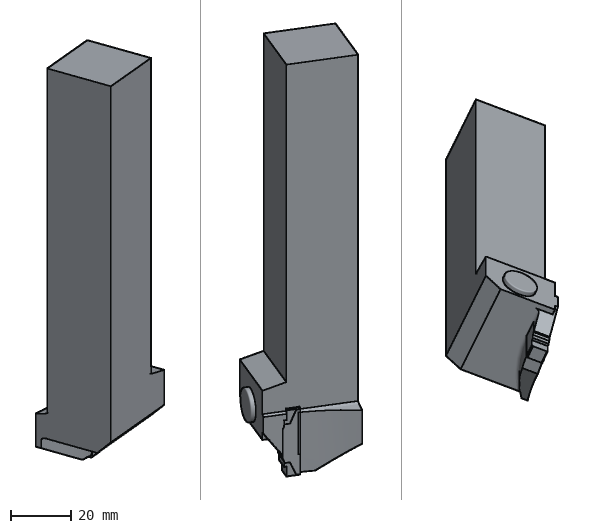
import cadquery as cq

TOTAL_HEIGHT = 151.4
SHANK_SIZE = 25.0
HEAD_DEPTH = 33.3
HEAD_BOTTOM = 14.4
HEAD_TOP_BACK = 32.5
HEAD_TOP_SHANK = 34.5
CORNER_CHAMFER = 5.3

BLADE_FRONT_OUTER = -4.5
BLADE_FRONT_INNER = -2.3
BLADE_OUTER = -1.0
BLADE_INNER = 4.7
BLADE_STRAIGHT_Y = 21.2
OUTER_ARC_MID = (-2.3, 10.1)
INNER_ARC_MID = (2.4, 9.1)
BLADE_FRONT_BOTTOM = 10.3
BLADE_BOTTOM = 1.2
BLADE_BOTTOM_Y = 15.5
BLADE_ROOT_FILLET = 1.2
SELECT_MARGIN = 0.2
CLAMP_BACK_Z = 17.1
CLAMP_NOSE_Y = 26.5
CLAMP_NOSE_Z = 7.9

LEDGE_OUTER_Z = 22.5
LEDGE_STEP_Z = 23.3
LEDGE_TOP = 23.9

SCREW_DIAMETER = 11.8
SCREW_X = 13.0
SCREW_Z = 21.5
SCREW_HEIGHT = 1.8
SCREW_FILLET = 0.5

INSERT_HEIGHT = 24.8
INSERT_INNER = 4.8
INSERT_FRONT_Y = 20.5
RAKE_Y = 25.1
RAKE_STEP_Y = 26.0
INSERT_BACK_Y = CLAMP_NOSE_Y
RAKE_LENGTH = 3.8
STEP_END = 5.9
BACK_START = 7.0
FLANK_LENGTH = 5.3
FLANK_FRONT_Y = 21.6
FLANK_REAR_Y = 24.0
FLANK_RELIEF = 0.2
TIP_CHAMFER = 0.5


def prism_along_x(points, x_start, x_end):
    """Extrude an outline of (y, z) points from x_start to x_end."""
    return cq.Workplane("YZ", origin=(x_start, 0, 0)).polyline(points).close().extrude(x_end - x_start)


def make_shank_and_head():
    profile = [
        (0, HEAD_BOTTOM),
        (HEAD_DEPTH, HEAD_BOTTOM),
        (HEAD_DEPTH, HEAD_TOP_BACK),
        (SHANK_SIZE, HEAD_TOP_SHANK),
        (SHANK_SIZE, TOTAL_HEIGHT),
        (0, TOTAL_HEIGHT),
    ]
    body = prism_along_x(profile, 0, SHANK_SIZE)
    return body.faces("<Z").edges(">X").chamfer(CORNER_CHAMFER)


def outer_blade_outline():
    """Start a plan outline along the curved outer side, from the front to the back face."""
    return (
        cq.Workplane("XY")
        .moveTo(BLADE_FRONT_OUTER, 0)
        .threePointArc(OUTER_ARC_MID, (BLADE_OUTER, BLADE_STRAIGHT_Y))
        .lineTo(BLADE_OUTER, HEAD_DEPTH)
        .lineTo(BLADE_INNER, HEAD_DEPTH)
    )


def make_ledge():
    plan = outer_blade_outline().lineTo(BLADE_INNER, 0).close().extrude(LEDGE_TOP)
    section = [
        (BLADE_FRONT_OUTER, HEAD_BOTTOM),
        (BLADE_INNER, HEAD_BOTTOM),
        (BLADE_INNER, LEDGE_TOP),
        (0, LEDGE_TOP),
        (BLADE_OUTER, LEDGE_STEP_Z),
        (BLADE_FRONT_OUTER, LEDGE_OUTER_Z),
    ]
    return plan.intersect(cq.Workplane("XZ").polyline(section).close().extrude(-HEAD_DEPTH))


def make_blade():
    plan = (
        outer_blade_outline()
        .lineTo(BLADE_INNER, BLADE_STRAIGHT_Y)
        .threePointArc(INNER_ARC_MID, (BLADE_FRONT_INNER, 0))
        .close()
        .extrude(HEAD_BOTTOM)
    )
    profile = [
        (0, BLADE_FRONT_BOTTOM),
        (BLADE_BOTTOM_Y, BLADE_BOTTOM),
        (INSERT_FRONT_Y, BLADE_BOTTOM),
        (INSERT_FRONT_Y, CLAMP_NOSE_Z),
        (CLAMP_NOSE_Y, CLAMP_NOSE_Z),
        (HEAD_DEPTH, CLAMP_BACK_Z),
        (0, CLAMP_BACK_Z),
    ]
    return plan.intersect(prism_along_x(profile, BLADE_FRONT_OUTER, BLADE_INNER))


def trim_clamp_back(body):
    """Continue the sloped underside of the clamping jaw through the overhanging ledge."""
    wedge = [(CLAMP_NOSE_Y, CLAMP_NOSE_Z), (HEAD_DEPTH, CLAMP_BACK_Z), (HEAD_DEPTH, CLAMP_NOSE_Z)]
    return body.cut(prism_along_x(wedge, BLADE_OUTER, 0))


def make_screw_head():
    return (
        cq.Workplane("XZ", origin=(SCREW_X, HEAD_DEPTH, SCREW_Z))
        .circle(SCREW_DIAMETER / 2)
        .extrude(-SCREW_HEIGHT)
        .faces(">Y")
        .edges()
        .fillet(SCREW_FILLET)
    )


def make_insert_envelope():
    """Insert before its flanks are relieved; also the shape of its seat."""
    top = INSERT_HEIGHT
    profile = [
        (INSERT_FRONT_Y, 0),
        (RAKE_Y, 0),
        (RAKE_Y, RAKE_LENGTH),
        (RAKE_STEP_Y, RAKE_LENGTH),
        (RAKE_STEP_Y, STEP_END),
        (INSERT_BACK_Y, BACK_START),
        (INSERT_BACK_Y, top - BACK_START),
        (RAKE_STEP_Y, top - STEP_END),
        (RAKE_STEP_Y, top - RAKE_LENGTH),
        (RAKE_Y, top - RAKE_LENGTH),
        (RAKE_Y, top),
        (INSERT_FRONT_Y, top),
    ]
    body = prism_along_x(profile, BLADE_OUTER, INSERT_INNER)
    return body.faces("<Z or >Z").edges("|Y").chamfer(TIP_CHAMFER)


def make_insert(envelope):
    flank = [
        (FLANK_FRONT_Y, 0),
        (FLANK_REAR_Y, FLANK_LENGTH),
        (INSERT_BACK_Y, FLANK_LENGTH),
        (INSERT_BACK_Y, 0),
    ]
    lower_relief = prism_along_x(flank, BLADE_OUTER, BLADE_OUTER + FLANK_RELIEF)
    upper_relief = lower_relief.mirror("XY", (0, 0, INSERT_HEIGHT / 2))
    return envelope.cut(lower_relief).cut(upper_relief)


def make_holder(seat):
    """One-piece holder with a seat shaped to the insert."""
    body = make_shank_and_head().union(make_ledge()).union(make_blade())
    root = cq.selectors.BoxSelector(
        (BLADE_FRONT_INNER, 0, HEAD_BOTTOM - SELECT_MARGIN),
        (BLADE_INNER, BLADE_STRAIGHT_Y, HEAD_BOTTOM + SELECT_MARGIN),
    )
    body = body.edges(root).fillet(BLADE_ROOT_FILLET)
    return trim_clamp_back(body).union(make_screw_head()).cut(seat)


insert_envelope = make_insert_envelope()
insert = make_insert(insert_envelope)
holder = make_holder(insert_envelope)

result = cq.Compound.makeCompound([holder.val(), insert.val()])